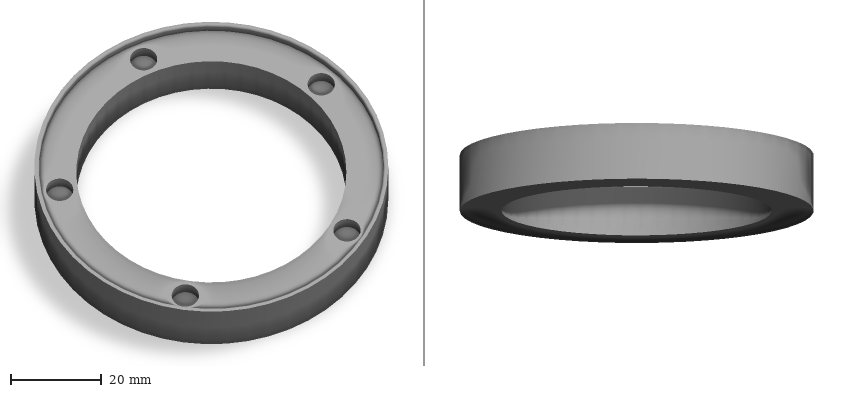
import cadquery as cq
import math

outer_diameter = 78.0
bore_diameter = 59.5
height = 12.5

recess_diameter = 76.0
recess_depth = 1.95
rim_rounding = 0.5

pocket_diameter = 6.0
pocket_depth = 3.0
pocket_count = 5
pocket_circle_radius = 33.8
first_pocket_angle = 36.0

recess_floor_z = height - recess_depth


def make_ring():
    """Plain ring standing on the XY plane."""
    return cq.Workplane("XY").circle(outer_diameter / 2).circle(bore_diameter / 2).extrude(height)


def make_recess():
    """Disc that lowers the top face inside the rim, flared at the top to round the rim's inner edge."""
    recess_radius = recess_diameter / 2
    diagonal_offset = rim_rounding * (1 - math.sqrt(0.5))
    arc_middle = (recess_radius + diagonal_offset, height - diagonal_offset)
    return (
        cq.Workplane("XZ")
        .moveTo(0, recess_floor_z)
        .lineTo(recess_radius, recess_floor_z)
        .lineTo(recess_radius, height - rim_rounding)
        .threePointArc(arc_middle, (recess_radius + rim_rounding, height))
        .lineTo(0, height)
        .close()
        .revolve(360, (0, 0, 0), (0, 1, 0))
    )


def make_pockets():
    """Cylinders sunk below the recess floor."""
    return (
        cq.Workplane("XY")
        .workplane(offset=recess_floor_z - pocket_depth)
        .polarArray(pocket_circle_radius, first_pocket_angle, 360, pocket_count)
        .circle(pocket_diameter / 2)
        .extrude(pocket_depth)
    )


result = make_ring().cut(make_recess()).cut(make_pockets())